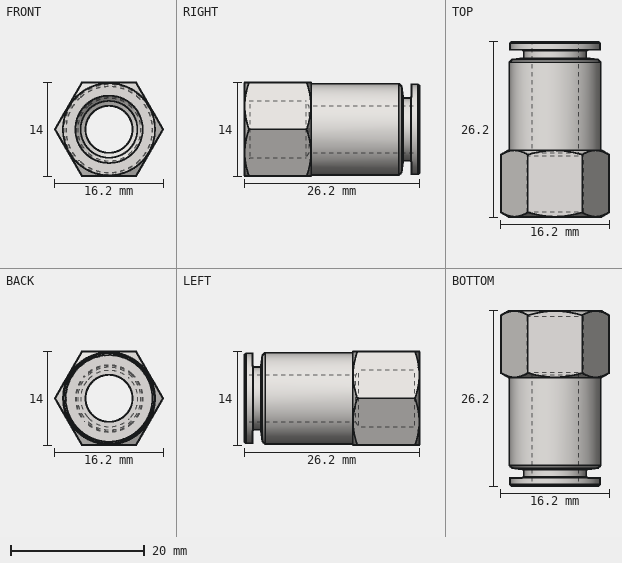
import cadquery as cq
import math

total_length = 26.2
hex_across_corners = 16.17
hex_length = 10.0
hex_face_diameter = 13.78
hex_chamfer_angle = 30.0

body_diameter = 13.7
body_chamfer = 0.42
body_chamfer_setback = 2.67
body_end_setback = 2.45

neck_diameter = 9.4
neck_taper_length = 0.13
neck_taper_width = 0.2
neck_ledge = 0.1
collar_diameter = 13.5
collar_thickness = 1.23
collar_chamfer = 0.25

bore_diameter = 7.0
thread_diameter = 8.5
thread_depth = 9.17
countersink_diameter = 10.1
bore_step_angle = 60.0


def revolve_about_y(profile):
    """Revolve a closed (radius, y) profile about the Y axis."""
    return cq.Workplane("XY").polyline(profile).close().revolve(360, (0, 0, 0), (0, 1, 0))


def chamfered_hexagon():
    """Hexagon with flats facing +Z and -Z and both ends turned to a cone."""
    corner_radius = hex_across_corners / 2
    face_radius = hex_face_diameter / 2
    chamfer_length = (corner_radius - face_radius) * math.tan(math.radians(hex_chamfer_angle))
    prism = (
        cq.Workplane("XZ")
        .polygon(6, hex_across_corners)
        .extrude(-hex_length)
    )
    envelope = revolve_about_y([
        (0, 0),
        (face_radius, 0),
        (corner_radius, chamfer_length),
        (corner_radius, hex_length - chamfer_length),
        (face_radius, hex_length),
        (0, hex_length),
    ])
    return prism.intersect(envelope)


def body_and_collar():
    """Body, shallow cone on its end, neck and collar as one turned shape."""
    body_radius = body_diameter / 2
    neck_radius = neck_diameter / 2
    collar_radius = collar_diameter / 2
    body_end = total_length - body_end_setback
    chamfer_end = total_length - body_chamfer_setback
    collar_start = total_length - collar_thickness
    return revolve_about_y([
        (0, hex_length / 2),
        (body_radius, hex_length / 2),
        (body_radius, chamfer_end - body_chamfer),
        (body_radius - body_chamfer, chamfer_end),
        (neck_radius + neck_ledge, body_end),
        (neck_radius, body_end),
        (neck_radius, collar_start - neck_taper_length),
        (neck_radius + neck_taper_width, collar_start),
        (collar_radius, collar_start),
        (collar_radius, total_length - collar_chamfer),
        (collar_radius - collar_chamfer, total_length),
        (0, total_length),
    ])


def stepped_bore():
    """Countersunk thread bore that tapers down to the through bore."""
    bore_radius = bore_diameter / 2
    thread_radius = thread_diameter / 2
    countersink_radius = countersink_diameter / 2
    countersink_depth = countersink_radius - thread_radius
    step_length = (thread_radius - bore_radius) / math.tan(math.radians(bore_step_angle))
    return revolve_about_y([
        (0, 0),
        (countersink_radius, 0),
        (thread_radius, countersink_depth),
        (thread_radius, thread_depth),
        (bore_radius, thread_depth + step_length),
        (bore_radius, total_length),
        (0, total_length),
    ])


result = chamfered_hexagon().union(body_and_collar()).cut(stepped_bore())